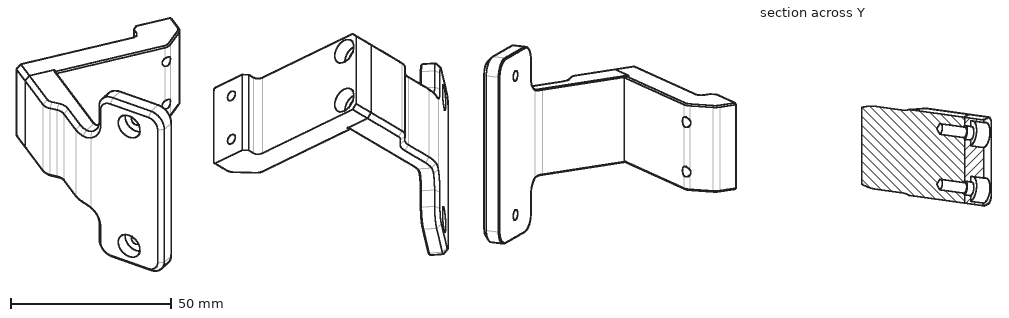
import cadquery as cq
import math

overall_length = 71.2
overall_depth = 55.0
bracket_height = 28.0
front_chamfer = 1.5

arm_left = 5.55
arm_right = 14.0
arm_back_chamfer = 0.5
hook_drop = 13.45
hook_inner_radius = 2.0
hook_tip_chamfer_x = 1.5
hook_tip_chamfer_y = 1.4
hook_corner_cut = 7.0
hook_corner_radius = 3.0
hook_hole_diameter = 3.3
hook_hole_from_back = 7.5
hook_hole_spacing = 16.0

joint_x = 12.5
strap_back = 10.0
screw_spacing = 18.0
screw_from_front = 5.0
screw_clearance_diameter = 4.3
screw_head_depth = 4.7
screw_tapped_diameter = 3.3
screw_tapped_depth = 8.55
screw_tip_angle = 118.0

head_diameter = 8.0

plate_thickness = 6.0
plate_back_chamfer = 0.35
step_corner_x = 28.5
step_radius = 4.0

head_angle = 35.0
head_start = 6.0
head_end = 30.0
head_height = 60.0
head_corner_radius = 5.0
bend_inner_radius = 6.0
plate_hole_spacing = 45.0
plate_hole_diameter = 3.3
plate_hole_head_depth = 4.0

hook_ledge = overall_depth - hook_drop
hook_hole_y = overall_depth - hook_hole_from_back
strap_front = strap_back - plate_thickness
strap_middle_x = (joint_x + step_corner_x) / 2
step_top_x = step_corner_x + strap_front
bend_outer_radius = bend_inner_radius + plate_thickness
head_middle = (head_start + head_end) / 2

angle = math.radians(head_angle)
along = cq.Vector(math.cos(angle), math.sin(angle), 0)
inward = cq.Vector(-math.sin(angle), math.cos(angle), 0)

bend_corner_x = overall_length + front_chamfer * math.sin(angle) - head_end * math.cos(angle)
bend_corner = cq.Vector(bend_corner_x, strap_front, 0)

through = 2 * overall_length


def both_sides(spacing):
    """The two Z places of a pair that is symmetric about the mid-plane."""
    return (-spacing / 2, spacing / 2)


def cylinder(diameter, start, length, direction):
    return cq.Workplane(cq.Solid.makeCylinder(diameter / 2, length, start, direction))


def head_point(distance, depth):
    """XY point at a distance along the head and a depth behind its front face."""
    point = bend_corner + along * distance + inward * depth
    return (point.x, point.y)


def fillet_upright(body, x, y, radius):
    """Round the vertical edge through (x, y), whose middle lies on the mid-plane."""
    return body.edges(cq.selectors.NearestToPointSelector((x, y, 0))).fillet(radius)




def arm_blank():
    """Hooked arm, with the step for the bent plate at its front right corner."""
    cut_start = (arm_right, overall_depth - hook_corner_cut)
    cut_end = (arm_right - hook_corner_cut, overall_depth)
    outline = [
        (arm_left, 0),
        (joint_x, 0),
        (joint_x, strap_back),
        (arm_right, strap_back),
        cut_start,
        cut_end,
        (0, overall_depth),
        (0, hook_ledge + hook_tip_chamfer_y),
        (hook_tip_chamfer_x, hook_ledge),
        (arm_left, hook_ledge),
    ]
    blank = cq.Workplane("XY").polyline(outline).close().extrude(bracket_height / 2, both=True)
    blank = fillet_upright(blank, arm_left, hook_ledge, hook_inner_radius)
    for corner in (cut_start, cut_end):
        blank = fillet_upright(blank, *corner, hook_corner_radius)
    return blank


def chamfer_arm(arm):
    """Chamfer the front edges, and the smooth chains of edges around the back of the hook."""
    arm = arm.faces("<Y").edges("|X").chamfer(front_chamfer)
    return arm.faces(">Y").edges("|X").chamfer(arm_back_chamfer)


def cut_screw_clearances(arm):
    """Counterbored holes for the screws that hold the bent plate."""
    for z in both_sides(screw_spacing):
        start = cq.Vector(arm_left, screw_from_front, z)
        arm = arm.cut(cylinder(head_diameter, start, screw_head_depth, cq.Vector(1, 0, 0)))
        arm = arm.cut(cylinder(screw_clearance_diameter, start, joint_x - arm_left, cq.Vector(1, 0, 0)))
    return arm


def cut_hook_holes(arm):
    for z in both_sides(hook_hole_spacing):
        start = cq.Vector(0, hook_hole_y, z)
        arm = arm.cut(cylinder(hook_hole_diameter, start, arm_right, cq.Vector(1, 0, 0)))
    return arm


def make_arm():
    arm = chamfer_arm(arm_blank())
    arm = cut_screw_clearances(arm)
    return cut_hook_holes(arm)




def bent_profile():
    """Bent outline of strap and head in XY, extruded to the height of the head."""
    back_corner = head_point(plate_thickness * math.tan(angle / 2), plate_thickness)
    front_corner = head_point(0, 0)
    step_foot = (step_corner_x, 0)
    step_top = (step_top_x, strap_front)
    outline = [
        (joint_x, 0),
        step_foot,
        step_top,
        front_corner,
        head_point(head_end, 0),
        head_point(head_end, plate_thickness),
        back_corner,
        (joint_x, strap_back),
    ]
    profile = cq.Workplane("XY").polyline(outline).close().extrude(head_height / 2, both=True)
    for corner in (step_foot, step_top):
        profile = fillet_upright(profile, *corner, step_radius)
    profile = fillet_upright(profile, *back_corner, bend_inner_radius)
    return fillet_upright(profile, *front_corner, bend_outer_radius)


def t_shape():
    """T outline of strap and head, extruded square to the head through the whole part."""
    plane = cq.Plane(origin=bend_corner, xDir=along, normal=inward * -1)
    half_height = bracket_height / 2
    head = (
        cq.Workplane(plane)
        .center(head_middle, 0)
        .rect(head_end - head_start, head_height)
        .extrude(through, both=True)
        .edges(cq.selectors.ParallelDirSelector(inward))
        .fillet(head_corner_radius)
    )
    neck = (
        cq.Workplane(plane)
        .moveTo(-through, -half_height)
        .lineTo(head_middle, -half_height)
        .lineTo(head_middle, half_height)
        .lineTo(-through, half_height)
        .close()
        .extrude(through, both=True)
    )
    tee = head.union(neck)
    for z in both_sides(bracket_height):
        inner_corner = plane.toWorldCoords((head_start, z, 0))
        tee = tee.edges(cq.selectors.NearestToPointSelector(inner_corner)).fillet(head_corner_radius)
    return tee


def chamfer_plate(plate):
    """Chamfer the smooth chains of edges that run around the front and the back of the plate."""
    for y, size in ((0, front_chamfer), (strap_back, plate_back_chamfer)):
        chain_start = cq.selectors.NearestToPointSelector((strap_middle_x, y, bracket_height / 2))
        plate = plate.edges(chain_start).chamfer(size)
    return plate


def cut_plate_holes(plate):
    """Counterbored holes, square to the front face of the head."""
    for z in both_sides(plate_hole_spacing):
        start = cq.Vector(*head_point(head_middle, 0), z)
        plate = plate.cut(cylinder(head_diameter, start, plate_hole_head_depth, inward))
        plate = plate.cut(cylinder(plate_hole_diameter, start, plate_thickness, inward))
    return plate


def cut_tapped_holes(plate):
    """Blind holes with drill-point ends, in line with the screw holes of the arm."""
    radius = screw_tapped_diameter / 2
    tip_length = radius / math.tan(math.radians(screw_tip_angle / 2))
    for z in both_sides(screw_spacing):
        start = cq.Vector(joint_x, screw_from_front, z)
        tip_start = start + cq.Vector(screw_tapped_depth, 0, 0)
        tip = cq.Solid.makeCone(radius, 0, tip_length, tip_start, cq.Vector(1, 0, 0))
        plate = plate.cut(cylinder(screw_tapped_diameter, start, screw_tapped_depth, cq.Vector(1, 0, 0)))
        plate = plate.cut(cq.Workplane(tip))
    return plate


def make_bent_plate():
    plate = chamfer_plate(bent_profile().intersect(t_shape()))
    plate = cut_plate_holes(plate)
    return cut_tapped_holes(plate)


arm = make_arm()
bent_plate = make_bent_plate()

result = cq.Compound.makeCompound([arm.val(), bent_plate.val()])